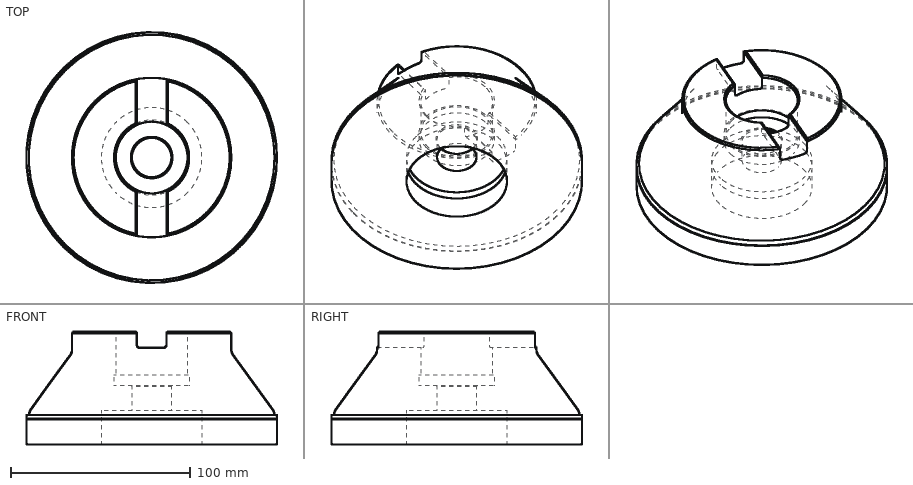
import cadquery as cq
import math

outer_radius = 139.92 / 2
total_height = 63.0

ring_height = 14.2
bottom_fillet = 0.75
joint_chamfer = 0.2

flange_top = 16.6
flange_fillet = 0.65
shoulder_radius = 136.99 / 2
shoulder_fillet = 5.0
hub_radius = 89.0 / 2
hub_chamfer = 1.0
hub_fillet = 5.0
cone_angle = math.radians(36)

bore_radius = 40.0 / 2
bore_depth = 30.0
bore_chamfer = 1.0
relief_radius = 42.0 / 2
relief_depth = 24.3
bolt_hole_radius = 22.0 / 2
bolt_hole_chamfer = 0.6
recess_radius = 56.0 / 2
bolt_seat_thickness = 14.0

slot_width = 16.4
slot_depth = 9.0
slot_floor_fillet = 1.6
slot_edge_chamfer = 0.8

relief_top = total_height - relief_depth
bore_floor = total_height - bore_depth
recess_roof = bore_floor - bolt_seat_thickness

cone_base_height = flange_top + shoulder_fillet * math.tan(cone_angle / 2)
cone_top_height = cone_base_height + (shoulder_radius - hub_radius) / math.tan(cone_angle)

outward = (1, 0)
inward = (-1, 0)
up = (0, 1)
along_cone = (-math.sin(cone_angle), math.cos(cone_angle))


def fillet_points(corner, direction_in, direction_out, radius):
    """Start, middle and end of a fillet between two unit directions that meet at a corner."""
    dot = direction_in[0] * direction_out[0] + direction_in[1] * direction_out[1]
    turn = math.acos(dot)
    reach = radius * math.tan(turn / 2)
    start = (corner[0] - reach * direction_in[0], corner[1] - reach * direction_in[1])
    end = (corner[0] + reach * direction_out[0], corner[1] + reach * direction_out[1])
    bisector = (direction_out[0] - direction_in[0], direction_out[1] - direction_in[1])
    bisector_length = math.hypot(*bisector)
    gap = radius / math.cos(turn / 2) - radius
    middle = (
        corner[0] + gap * bisector[0] / bisector_length,
        corner[1] + gap * bisector[1] / bisector_length,
    )
    return start, middle, end


def make_base_ring():
    """Flat ring under the arbor body, with the bolt recess through it."""
    bottom_edge = fillet_points((outer_radius, 0), outward, up, bottom_fillet)
    profile = (
        cq.Workplane("XZ")
        .moveTo(recess_radius, 0)
        .lineTo(*bottom_edge[0])
        .threePointArc(bottom_edge[1], bottom_edge[2])
        .lineTo(outer_radius, ring_height - joint_chamfer)
        .lineTo(outer_radius - joint_chamfer, ring_height)
        .lineTo(recess_radius, ring_height)
        .close()
    )
    return profile.revolve(360, (0, 0, 0), (0, 1, 0))


def make_body_blank():
    """Flange, cone and hub turned about Z, with the stepped hole through the middle."""
    rim = fillet_points((outer_radius, flange_top), up, inward, flange_fillet)
    _, *shoulder = fillet_points((shoulder_radius, cone_base_height), up, along_cone, shoulder_fillet)
    hub_root = fillet_points((hub_radius, cone_top_height), along_cone, up, hub_fillet)
    profile = (
        cq.Workplane("XZ")
        .moveTo(recess_radius, ring_height)
        .lineTo(outer_radius - joint_chamfer, ring_height)
        .lineTo(outer_radius, ring_height + joint_chamfer)
        .lineTo(*rim[0])
        .threePointArc(rim[1], rim[2])
        .lineTo(shoulder_radius, flange_top)
        .threePointArc(*shoulder)
        .lineTo(*hub_root[0])
        .threePointArc(hub_root[1], hub_root[2])
        .lineTo(hub_radius, total_height - hub_chamfer)
        .lineTo(hub_radius - hub_chamfer, total_height)
        .lineTo(bore_radius + bore_chamfer, total_height)
        .lineTo(bore_radius, total_height - bore_chamfer)
        .lineTo(bore_radius, relief_top)
        .lineTo(relief_radius, relief_top)
        .lineTo(relief_radius, bore_floor)
        .lineTo(bolt_hole_radius + bolt_hole_chamfer, bore_floor)
        .lineTo(bolt_hole_radius, bore_floor - bolt_hole_chamfer)
        .lineTo(bolt_hole_radius, recess_roof)
        .lineTo(recess_radius, recess_roof)
        .close()
    )
    return profile.revolve(360, (0, 0, 0), (0, 1, 0))


def make_slot_cutter():
    """Driving slot with a rounded floor and bevelled upper edges."""
    slot_length = 2 * outer_radius
    slot = (
        cq.Workplane("XY")
        .box(slot_width, slot_length, slot_depth, centered=(True, True, False))
        .edges("|Y and <Z")
        .fillet(slot_floor_fillet)
    )
    bevel = (
        cq.Workplane("XZ", origin=(0, slot_length / 2, 0))
        .moveTo(-slot_width / 2, slot_depth - slot_edge_chamfer)
        .lineTo(slot_width / 2, slot_depth - slot_edge_chamfer)
        .lineTo(slot_width / 2 + slot_edge_chamfer, slot_depth)
        .lineTo(-slot_width / 2 - slot_edge_chamfer, slot_depth)
        .close()
        .extrude(slot_length)
    )
    return slot.union(bevel).translate((0, 0, total_height - slot_depth))


base_ring = make_base_ring()
arbor_body = make_body_blank().cut(make_slot_cutter())

result = cq.Compound.makeCompound([base_ring.val(), arbor_body.val()])